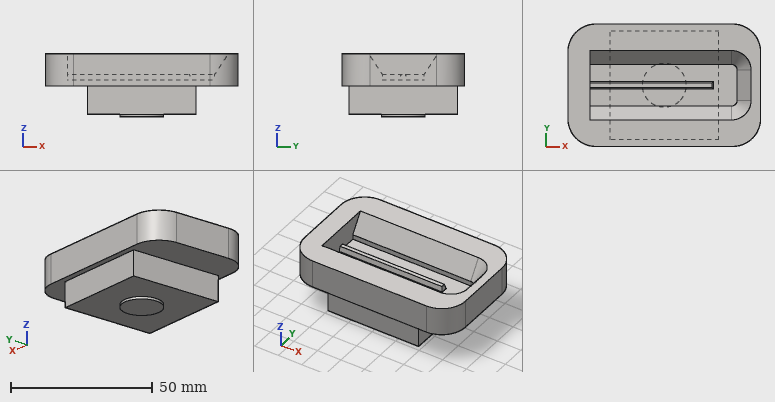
import cadquery as cq

plate_length = 68.4
plate_width = 43.5
plate_height = 11.55
plate_corner_radius = 10.0

base_side = 38.6
base_height = 10.0
foot_diameter = 15.6
foot_height = 0.95

pocket_left = -26.3
pocket_right = 30.8
pocket_width = 24.6
pocket_corner_radius = 7.0
slope_inset = 4.9
slope_depth = 7.45
well_depth = 2.0

rib_end = 17.45
rib_base_width = 2.5
rib_height = 2.0
rib_draft_inset = 0.5

floor_z = plate_height - slope_depth - well_depth
slope_bottom_z = floor_z + well_depth


def pocket_outline(z, inset):
    """Closed outline with a square left end and rounded right corners, inset on three sides."""
    right = pocket_right - inset
    half_width = pocket_width / 2 - inset
    radius = pocket_corner_radius - inset
    arc_x = right - radius
    arc_y = half_width - radius
    diagonal = radius * 0.5**0.5
    return (
        cq.Workplane("XY", origin=(0, 0, z))
        .moveTo(pocket_left, -half_width)
        .lineTo(arc_x, -half_width)
        .threePointArc((arc_x + diagonal, -arc_y - diagonal), (right, -arc_y))
        .lineTo(right, arc_y)
        .threePointArc((arc_x + diagonal, arc_y + diagonal), (arc_x, half_width))
        .lineTo(pocket_left, half_width)
        .close()
    )


def rib_outline(z, inset):
    """Rectangular rib section, inset at both sides and at the free end."""
    length = rib_end - inset - pocket_left
    return cq.Workplane("XY", origin=(pocket_left, 0, z)).rect(
        length, rib_base_width - 2 * inset, centered=(False, True)
    )


def ruled_loft(lower, upper):
    """Solid with straight-ruled walls between two closed outlines."""
    return cq.Workplane(cq.Solid.makeLoft([lower.val(), upper.val()], True))


plate = (
    cq.Workplane("XY")
    .box(plate_length, plate_width, plate_height, centered=(True, True, False))
    .edges("|Z")
    .fillet(plate_corner_radius)
)
base = cq.Workplane("XY").rect(base_side, base_side).extrude(-base_height)
foot = (
    cq.Workplane("XY", origin=(0, 0, -base_height))
    .circle(foot_diameter / 2)
    .extrude(-foot_height)
)

sloped_pocket = ruled_loft(
    pocket_outline(slope_bottom_z, slope_inset),
    pocket_outline(plate_height, 0),
)
well = pocket_outline(floor_z, slope_inset).extrude(well_depth)
rib = ruled_loft(rib_outline(floor_z, 0), rib_outline(floor_z + rib_height, rib_draft_inset))

result = plate.union(base).union(foot).cut(sloped_pocket).cut(well).union(rib)